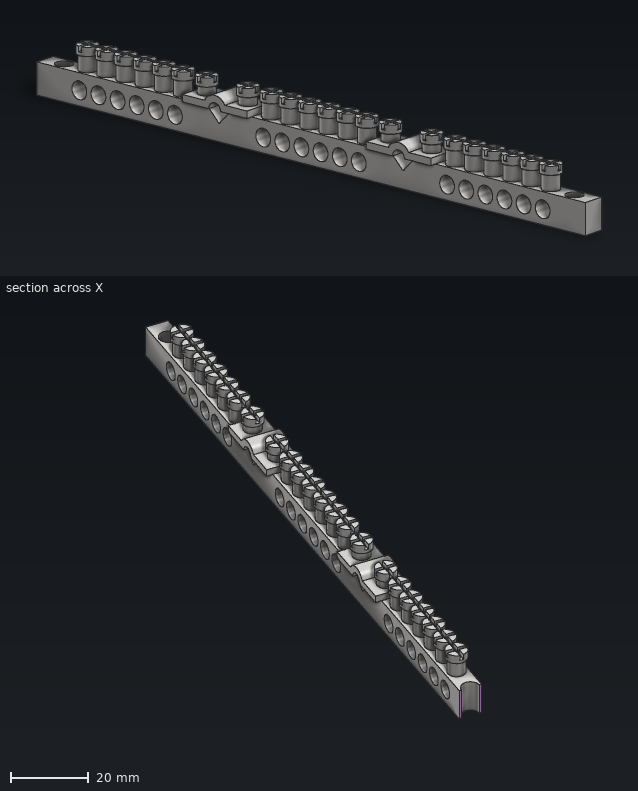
import cadquery as cq

BAR_LENGTH = 186.5
BAR_WIDTH = 6.5
BAR_HEIGHT = 9.0
MOUNTING_HOLE_DIAMETER = 5.0
MOUNTING_HOLE_SPAN = 173.5

GROUP_COUNT = 3
GROUP_PITCH = 62.5
TERMINALS_PER_GROUP = 6
TERMINAL_PITCH = 6.5
WIRE_HOLE_DIAMETER = 5.0
WIRE_HOLE_HEIGHT = 4.25

SCREW_TOP = 16.0
SHANK_DIAMETER = 5.0
HEAD_DIAMETER = 6.0
HEAD_HEIGHT = 2.5
DRIVE_SLOT_WIDTH = 1.0
DRIVE_SLOT_DEPTH = 1.5

PLATE_LENGTH = 22.0
PLATE_WIDTH = 10.0
PLATE_THICKNESS = 2.0
PLATE_SCREW_SPAN = 14.0
ARCH_INNER_RADIUS = 2.0
NOTCH_HALF_WIDTH = 4.0
NOTCH_DEPTH = 4.0


def spread(count, pitch):
    """Return `count` positions spaced by `pitch` and centred on zero."""
    return [(i - (count - 1) / 2) * pitch for i in range(count)]


GROUP_CENTERS = spread(GROUP_COUNT, GROUP_PITCH)
CLAMP_CENTERS = spread(GROUP_COUNT - 1, GROUP_PITCH)
TERMINAL_POSITIONS = [
    group + offset
    for group in GROUP_CENTERS
    for offset in spread(TERMINALS_PER_GROUP, TERMINAL_PITCH)
]
CLAMP_SCREW_POSITIONS = [
    clamp + offset
    for clamp in CLAMP_CENTERS
    for offset in spread(2, PLATE_SCREW_SPAN)
]


def extrude_across(profile, width):
    """Extrude a profile drawn on the XZ plane by `width`, centred on Y = 0."""
    return profile.extrude(width / 2, both=True)


def make_bar():
    """Bar standing on Z = 0 with mounting holes, wire holes and V notches."""
    bar = cq.Workplane("XY").box(BAR_LENGTH, BAR_WIDTH, BAR_HEIGHT, centered=(True, True, False))
    mounting_holes = (
        cq.Workplane("XY")
        .pushPoints([(x, 0) for x in spread(2, MOUNTING_HOLE_SPAN)])
        .circle(MOUNTING_HOLE_DIAMETER / 2)
        .extrude(BAR_HEIGHT)
    )
    wire_holes = extrude_across(
        cq.Workplane("XZ")
        .pushPoints([(x, WIRE_HOLE_HEIGHT) for x in TERMINAL_POSITIONS])
        .circle(WIRE_HOLE_DIAMETER / 2),
        BAR_WIDTH,
    )
    bar = bar.cut(mounting_holes).cut(wire_holes)
    for x in CLAMP_CENTERS:
        bar = bar.cut(make_notch(x))
    return bar


def make_notch(x):
    """V-shaped wire seat across the top of the bar, below a clamp."""
    profile = (
        cq.Workplane("XZ", origin=(x, 0, BAR_HEIGHT))
        .moveTo(-NOTCH_HALF_WIDTH, 0)
        .lineTo(0, -NOTCH_DEPTH)
        .lineTo(NOTCH_HALF_WIDTH, 0)
        .close()
    )
    return extrude_across(profile, BAR_WIDTH)


def make_clamp(x):
    """Flat plate with a round arch over the notch."""
    origin = (x, 0, BAR_HEIGHT)
    plate = cq.Workplane("XY", origin=origin).box(
        PLATE_LENGTH, PLATE_WIDTH, PLATE_THICKNESS, centered=(True, True, False)
    )
    arch_outer_radius = ARCH_INNER_RADIUS + PLATE_THICKNESS
    arch = extrude_across(half_disc(origin, arch_outer_radius), PLATE_WIDTH)
    opening = extrude_across(half_disc(origin, ARCH_INNER_RADIUS), PLATE_WIDTH)
    return plate.union(arch).cut(opening)


def half_disc(origin, radius):
    """Upper half of a disc on the XZ plane."""
    return (
        cq.Workplane("XZ", origin=origin)
        .moveTo(-radius, 0)
        .threePointArc((0, radius), (radius, 0))
        .close()
    )


def make_screw(x, base_height):
    """Screw standing on `base_height`, with a cross slot through its head."""
    head_base = SCREW_TOP - HEAD_HEIGHT
    slot_floor = SCREW_TOP - DRIVE_SLOT_DEPTH
    shank = (
        cq.Workplane("XY", origin=(x, 0, base_height))
        .circle(SHANK_DIAMETER / 2)
        .extrude(head_base - base_height)
    )
    head = cq.Workplane("XY", origin=(x, 0, head_base)).circle(HEAD_DIAMETER / 2).extrude(HEAD_HEIGHT)
    screw = shank.union(head)
    for length, width in [(HEAD_DIAMETER, DRIVE_SLOT_WIDTH), (DRIVE_SLOT_WIDTH, HEAD_DIAMETER)]:
        slot = cq.Workplane("XY", origin=(x, 0, slot_floor)).rect(length, width)
        screw = screw.cut(slot.extrude(DRIVE_SLOT_DEPTH))
    return screw


result = make_bar()
for position in CLAMP_CENTERS:
    result = result.union(make_clamp(position))
for position in TERMINAL_POSITIONS:
    result = result.union(make_screw(position, BAR_HEIGHT))
for position in CLAMP_SCREW_POSITIONS:
    result = result.union(make_screw(position, BAR_HEIGHT + PLATE_THICKNESS))